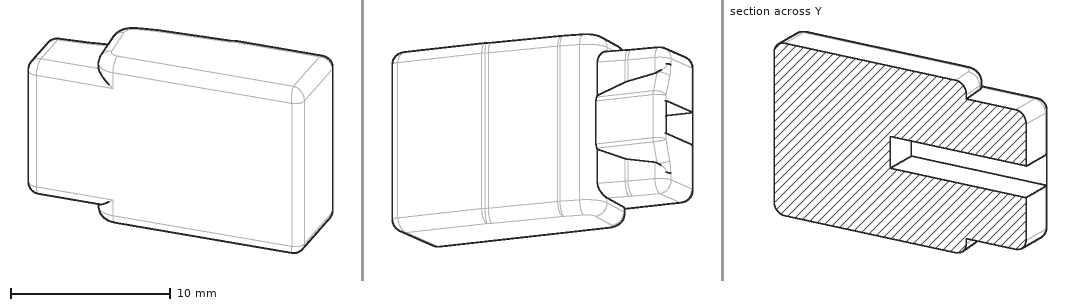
import cadquery as cq

LENGTH = 18.6
DEPTH = 6.1
BODY_HEIGHT = 11.6
RIM_RADIUS = 0.8

BODY_FOOT_X = 4.66
BODY_SHOULDER = (4.21, 5.33)
BACK_BEND = (6.85, 5.75)
STEP_START = (11.68, 6.0)
STEP_END_X = 11.98
SHOULDER_RADIUS = 1.4
BEND_RADIUS = 1.5
STEP_RADIUS = 0.7
END_RADIUS = 0.6

NOSE_HEIGHT = 9.4
NOSE_TIP_DEPTH = 4.41
NOSE_BEND_START = (2.57, 4.605)
NOSE_BEND_END = (2.75, 4.626)
NOSE_ROOT = (7.0, 5.31)

RIDGE_TOP = 5.0
RIDGE_FOOT = 4.33
RIDGE_TOP_HALF_WIDTH = 1.52
RIDGE_FLANK_HALF_WIDTH = 3.2
RIDGE_HALF_WIDTH = 3.5
RIDGE_BASE = 2.0
RIDGE_CREST_RADIUS = 0.7
RIDGE_FOOT_RADIUS = 1.4
RIDGE_TIP_RADIUS = 0.6
RIDGE_END_X = 6.0

SLOT_BOTTOM = 0.55
SLOT_TOP = 4.36
SLOT_HEIGHT = 2.1
SLOT_DEPTH = 10.0

PROBE = 0.05


def edge_at(x, y, z=0):
    """Selector for an edge whose centre lies at the given point."""
    return cq.selectors.BoxSelector(
        (x - PROBE, y - PROBE, z - PROBE),
        (x + PROBE, y + PROBE, z + PROBE),
    )


def make_body():
    outline = [
        (BODY_FOOT_X, 0),
        BODY_SHOULDER,
        BACK_BEND,
        STEP_START,
        (STEP_END_X, DEPTH),
        (LENGTH, DEPTH),
        (LENGTH, 0),
    ]
    body = cq.Workplane("XY").polyline(outline).close().extrude(BODY_HEIGHT / 2, both=True)
    rounded_corners = [
        ((BODY_FOOT_X, 0), SHOULDER_RADIUS),
        (BODY_SHOULDER, SHOULDER_RADIUS),
        (BACK_BEND, BEND_RADIUS),
        ((STEP_END_X, DEPTH), STEP_RADIUS),
    ]
    for (x, y), radius in rounded_corners:
        body = body.edges(edge_at(x, y)).fillet(radius)
    body = body.faces(">X").edges("|Z").fillet(END_RADIUS)
    return body.faces("<Z or >Z").edges().fillet(RIM_RADIUS)


def make_nose():
    nose = (
        cq.Workplane("XY")
        .lineTo(0, NOSE_TIP_DEPTH)
        .lineTo(*NOSE_BEND_START)
        .tangentArcPoint(NOSE_BEND_END, relative=False)
        .lineTo(*NOSE_ROOT)
        .lineTo(NOSE_ROOT[0], 0)
        .close()
        .extrude(NOSE_HEIGHT / 2, both=True)
    )
    nose = nose.faces("<X").edges("|Z").fillet(RIM_RADIUS)
    return nose.faces("<Z or >Z").edges("not >X").fillet(RIM_RADIUS)


def make_ridge():
    half_outline = [
        (RIDGE_BASE, RIDGE_HALF_WIDTH),
        (RIDGE_FOOT, RIDGE_HALF_WIDTH),
        (RIDGE_FOOT, RIDGE_FLANK_HALF_WIDTH),
        (RIDGE_TOP, RIDGE_TOP_HALF_WIDTH),
    ]
    mirrored_half = [(y, -z) for y, z in reversed(half_outline)]
    ridge = cq.Workplane("YZ").polyline(half_outline + mirrored_half).close().extrude(RIDGE_END_X)
    for side in (-1, 1):
        crest = edge_at(RIDGE_END_X / 2, RIDGE_TOP, side * RIDGE_TOP_HALF_WIDTH)
        foot = edge_at(RIDGE_END_X / 2, RIDGE_FOOT, side * RIDGE_FLANK_HALF_WIDTH)
        ridge = ridge.edges(crest).fillet(RIDGE_CREST_RADIUS)
        ridge = ridge.edges(foot).fillet(RIDGE_FOOT_RADIUS)
    tip_edge = edge_at(0, RIDGE_TOP)
    return ridge.edges(tip_edge).fillet(RIDGE_TIP_RADIUS)


def make_slot():
    return (
        cq.Workplane("XY")
        .box(SLOT_DEPTH, SLOT_TOP - SLOT_BOTTOM, SLOT_HEIGHT, centered=(False, False, True))
        .translate((0, SLOT_BOTTOM, 0))
    )


result = make_body().union(make_nose()).union(make_ridge()).cut(make_slot())